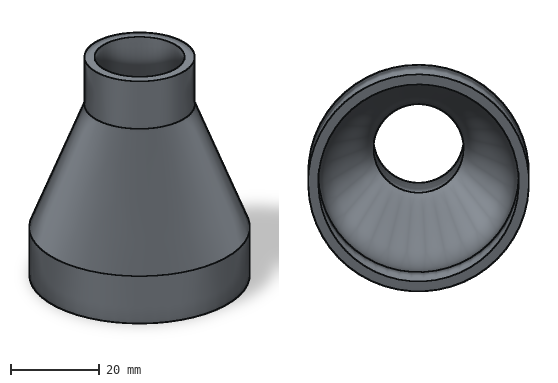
import cadquery as cq
import math

total_height = 55.0
large_diameter = 50.0
small_diameter = large_diameter / 2
collar_height = 12.0
wall = 2.3

large_radius = large_diameter / 2
small_radius = small_diameter / 2
cone_height = total_height - 2 * collar_height
cone_slope = math.atan((large_radius - small_radius) / cone_height)

cone_drop = wall * math.tan(cone_slope / 2)


def reducer_solid(bottom_radius, top_radius, cone_bottom):
    """Solid of revolution: straight collar, cone, straight collar."""
    cone_top = cone_bottom + cone_height
    return (
        cq.Workplane("XZ")
        .moveTo(0, 0)
        .lineTo(bottom_radius, 0)
        .lineTo(bottom_radius, cone_bottom)
        .lineTo(top_radius, cone_top)
        .lineTo(top_radius, total_height)
        .lineTo(0, total_height)
        .close()
        .revolve(360, (0, 0, 0), (0, 1, 0))
    )


outer = reducer_solid(large_radius, small_radius, collar_height)
bore = reducer_solid(large_radius - wall, small_radius - wall, collar_height - cone_drop)

result = outer.cut(bore)